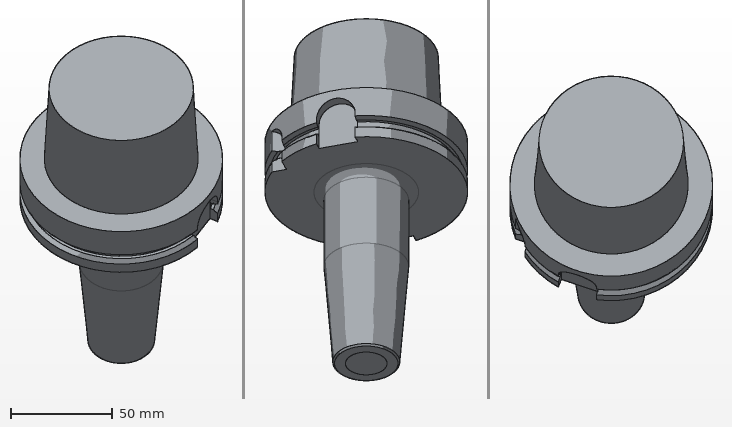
import cadquery as cq

TOTAL_HEIGHT = 180.0
FLANGE_BOTTOM = 101.0
FLANGE_TOP = 130.0
NECK_TAPER_TOP = 57.2

FLANGE_DIAMETER = 100.0
GROOVE_DIAMETER = 92.2
GROOVE_CENTER_Z = 110.3
GROOVE_WIDTH = 4.1
RIM_CHAMFER_WIDTH = 2.3
TOP_RIM_CHAMFER = 1.0
BOTTOM_RIM_CHAMFER = 1.5

SHANK_BASE_DIAMETER = 76.0
SHANK_TOP_DIAMETER = 71.3

NECK_DIAMETER = 42.0
NECK_TIP_DIAMETER = 33.1
NECK_FILLET = 4.9
TIP_CHAMFER = 0.9

SLOT_WIDTH = 20.0
SLOT_TOP = 125.1
SLOT_FLOOR_X = 44.6
NOTCH_WIDTH = SLOT_WIDTH
NOTCH_SIDE_Y = 31.1
NOTCH_FLOOR_X = 31.7

PIN_DIAMETER = 20.5
PIN_INSERTION = 41.4

FLANGE_RADIUS = FLANGE_DIAMETER / 2
NECK_RADIUS = NECK_DIAMETER / 2
GROOVE_RADIUS = GROOVE_DIAMETER / 2
NECK_TIP_RADIUS = NECK_TIP_DIAMETER / 2
PIN_RADIUS = PIN_DIAMETER / 2


def make_turned_holder():
    """Revolve the half profile of the shank, flange and neck about Z."""
    groove_top = GROOVE_CENTER_Z + GROOVE_WIDTH / 2
    groove_bottom = GROOVE_CENTER_Z - GROOVE_WIDTH / 2
    return (
        cq.Workplane("XZ")
        .moveTo(0, 0)
        .lineTo(NECK_TIP_RADIUS - TIP_CHAMFER, 0)
        .lineTo(NECK_TIP_RADIUS, TIP_CHAMFER)
        .lineTo(NECK_RADIUS, NECK_TAPER_TOP)
        .lineTo(NECK_RADIUS, FLANGE_BOTTOM - NECK_FILLET)
        .radiusArc((NECK_RADIUS + NECK_FILLET, FLANGE_BOTTOM), NECK_FILLET)
        .lineTo(FLANGE_RADIUS, FLANGE_BOTTOM)
        .lineTo(FLANGE_RADIUS, groove_bottom - BOTTOM_RIM_CHAMFER)
        .lineTo(FLANGE_RADIUS - RIM_CHAMFER_WIDTH, groove_bottom)
        .lineTo(GROOVE_RADIUS, groove_bottom)
        .lineTo(GROOVE_RADIUS, groove_top)
        .lineTo(FLANGE_RADIUS - RIM_CHAMFER_WIDTH, groove_top)
        .lineTo(FLANGE_RADIUS, groove_top + TOP_RIM_CHAMFER)
        .lineTo(FLANGE_RADIUS, FLANGE_TOP)
        .lineTo(SHANK_BASE_DIAMETER / 2, FLANGE_TOP)
        .lineTo(SHANK_TOP_DIAMETER / 2, TOTAL_HEIGHT)
        .lineTo(0, TOTAL_HEIGHT)
        .close()
        .revolve(360, (0, 0, 0), (0, 1, 0))
    )


def make_slot_cutter(center_y, width, floor_x, side):
    """Round-topped cutter running outward along X from floor_x; side is -1 or +1."""
    radius = width / 2
    arc_center_z = SLOT_TOP - radius
    return (
        cq.Workplane("YZ", origin=(side * floor_x, center_y, 0))
        .moveTo(-radius, FLANGE_BOTTOM)
        .lineTo(-radius, arc_center_z)
        .threePointArc((0, SLOT_TOP), (radius, arc_center_z))
        .lineTo(radius, FLANGE_BOTTOM)
        .close()
        .extrude(side * FLANGE_RADIUS)
    )


def make_pin():
    """Plain round pin that ends flush with the neck tip."""
    return cq.Workplane("XY").circle(PIN_RADIUS).extrude(PIN_INSERTION)


def make_holder():
    """Turned holder with its slots, notch and the bore that receives the pin."""
    body = make_turned_holder()
    for side in (-1, 1):
        body = body.cut(make_slot_cutter(0, SLOT_WIDTH, SLOT_FLOOR_X, side))
    notch_center_y = NOTCH_SIDE_Y + NOTCH_WIDTH / 2
    body = body.cut(make_slot_cutter(notch_center_y, NOTCH_WIDTH, NOTCH_FLOOR_X, -1))
    return body.cut(make_pin())


holder = make_holder()
pin = make_pin()

result = cq.Compound.makeCompound([holder.val(), pin.val()])